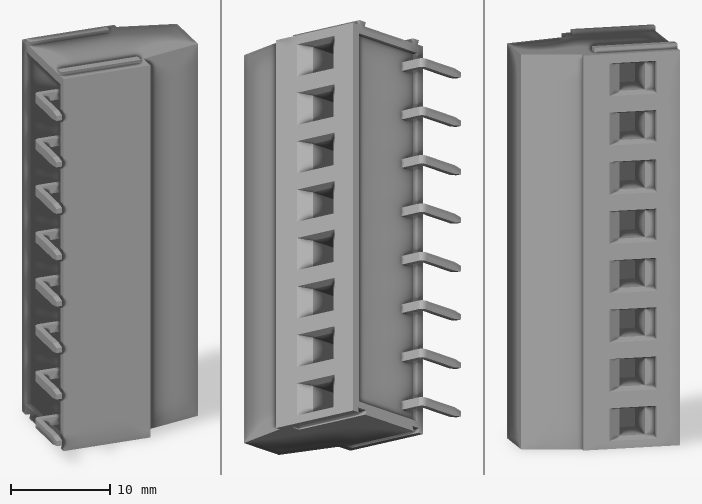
import cadquery as cq

POLE_COUNT = 8
POLE_SPAN = 35.6
PITCH = POLE_SPAN / (POLE_COUNT - 1)
FIRST_POLE = 2.5
TOTAL_LENGTH = 41.25
RIB_PROUD = 0.5
HOUSING_LENGTH = TOTAL_LENGTH - RIB_PROUD
HOUSING_WIDTH = 11.1
TOTAL_HEIGHT = 18.2
HOUSING_HEIGHT = 16.0
LEFT_SHOULDER_HEIGHT = 10.05
RIGHT_SHOULDER_HEIGHT = 9.45
SLOPE_FOOT_LEFT = 0.58
SLOPE_FOOT_RIGHT = 9.25
TOP_LEFT = 2.15
TOP_RIGHT = 7.7

RECESS_DEPTH = 0.58
RECESS_LEFT = 0.9
RECESS_RIGHT = 10.23
RECESS_TOP_RIM = 0.9
RECESS_BOTTOM_RIM = 1.15

RIB_RUN = 8.65
LEFT_RIB_NECK = (1.05, 1.85)
LEFT_RIB_CREST = (1.05, 2.02)
RIGHT_RIB_NECK = (9.75, 10.3)
RIGHT_RIB_CREST = (9.55, 10.47)
LEFT_GROOVE_MOUTH = (0.9, 1.95)
LEFT_GROOVE_FLOOR = (0.8, 2.15)
RIGHT_GROOVE_MOUTH = (9.65, 10.4)
RIGHT_GROOVE_FLOOR = (9.45, 10.55)

ENTRY_LOW = 2.45
ENTRY_HIGH = 7.35
ENTRY_LENGTH = 3.4
FUNNEL_HIGH = 6.05
FUNNEL_LENGTH = 2.8
FUNNEL_DEPTH = 1.0
HOLE_LOW = 3.4
HOLE_DEPTH = 5.0

PIN_THICKNESS = 0.6
PIN_WIDTH = 0.9
PIN_LEFT = 8.4
PIN_END = 14.5
PIN_BOTTOM = HOUSING_HEIGHT - TOTAL_HEIGHT
PIN_BEND_RADIUS = 0.58
PIN_EMBED = 0.4
PIN_TAPER_LENGTH = 1.0
PIN_TIP_WIDTH = 0.55

pole_centres = [FIRST_POLE + pole * PITCH for pole in range(POLE_COUNT)]


def box(x_span, y_span, z_span):
    """Box filling the given (low, high) spans."""
    sizes = [high - low for low, high in (x_span, y_span, z_span)]
    corner = (x_span[0], y_span[0], z_span[0])
    return cq.Workplane("XY").box(*sizes, centered=False).translate(corner)


def centred_span(centre, length):
    return (centre - length / 2, centre + length / 2)


def make_housing():
    """Tapered housing profile extruded along the row, with the recess cut."""
    body = (
        cq.Workplane("XY")
        .polyline([
            (0, 0),
            (HOUSING_WIDTH, 0),
            (HOUSING_WIDTH, RIGHT_SHOULDER_HEIGHT),
            (SLOPE_FOOT_RIGHT, RIGHT_SHOULDER_HEIGHT),
            (TOP_RIGHT, HOUSING_HEIGHT),
            (TOP_LEFT, HOUSING_HEIGHT),
            (SLOPE_FOOT_LEFT, LEFT_SHOULDER_HEIGHT),
            (0, LEFT_SHOULDER_HEIGHT),
        ])
        .close()
        .extrude(HOUSING_LENGTH)
    )
    recess = box(
        (RECESS_LEFT, RECESS_RIGHT),
        (0, RECESS_DEPTH),
        (RECESS_BOTTOM_RIM, HOUSING_LENGTH - RECESS_TOP_RIM),
    )
    return body.cut(recess)


def make_dovetail(base_z, base_span, outer_span):
    """Dovetail bar widening upward from base_z and running from the pin-side face along +Y."""
    outer_z = base_z + RIB_PROUD
    return (
        cq.Workplane("XZ")
        .polyline([
            (base_span[0], base_z),
            (base_span[1], base_z),
            (outer_span[1], outer_z),
            (outer_span[0], outer_z),
        ])
        .close()
        .extrude(-RIB_RUN)
    )


def make_wire_entry(centre_z):
    """Funnel with sloping upper and end walls, then the straight hole behind it."""
    mouth_mid = (ENTRY_LOW + ENTRY_HIGH) / 2
    throat_mid = (ENTRY_LOW + FUNNEL_HIGH) / 2
    funnel = (
        cq.Workplane("YZ")
        .center(mouth_mid, centre_z)
        .rect(ENTRY_HIGH - ENTRY_LOW, ENTRY_LENGTH)
        .workplane(offset=FUNNEL_DEPTH)
        .center(throat_mid - mouth_mid, 0)
        .rect(FUNNEL_HIGH - ENTRY_LOW, FUNNEL_LENGTH)
        .loft(combine=True, ruled=True)
    )
    hole = box(
        (FUNNEL_DEPTH, HOLE_DEPTH),
        (HOLE_LOW, FUNNEL_HIGH),
        centred_span(centre_z, FUNNEL_LENGTH),
    )
    return funnel.union(hole)


def make_pin(centre_z):
    """Right-angle pin with a rounded outer bend and a tip tapered in width."""
    z_span = centred_span(centre_z, PIN_WIDTH)
    stem_span = (PIN_LEFT, PIN_LEFT + PIN_THICKNESS)
    leg_span = (PIN_BOTTOM, PIN_BOTTOM + PIN_THICKNESS)
    stem = box(stem_span, (PIN_BOTTOM, RECESS_DEPTH + PIN_EMBED), z_span)
    taper_start = PIN_END - PIN_TAPER_LENGTH
    leg = box((PIN_LEFT, taper_start), leg_span, z_span)
    bent_bar = stem.union(leg).edges("|Z and <X and <Y").fillet(PIN_BEND_RADIUS)
    tip = (
        cq.Workplane("XZ", origin=(taper_start, PIN_BOTTOM, centre_z))
        .polyline([
            (0, -PIN_WIDTH / 2),
            (PIN_TAPER_LENGTH, -PIN_TIP_WIDTH / 2),
            (PIN_TAPER_LENGTH, PIN_TIP_WIDTH / 2),
            (0, PIN_WIDTH / 2),
        ])
        .close()
        .extrude(-PIN_THICKNESS)
    )
    return bent_bar.union(tip)


result = make_housing()

result = result.union(make_dovetail(HOUSING_LENGTH, LEFT_RIB_NECK, LEFT_RIB_CREST))
result = result.union(make_dovetail(HOUSING_LENGTH, RIGHT_RIB_NECK, RIGHT_RIB_CREST))
result = result.cut(make_dovetail(0, LEFT_GROOVE_MOUTH, LEFT_GROOVE_FLOOR))
result = result.cut(make_dovetail(0, RIGHT_GROOVE_MOUTH, RIGHT_GROOVE_FLOOR))

for pole_z in pole_centres:
    result = result.cut(make_wire_entry(pole_z))
    result = result.union(make_pin(pole_z))